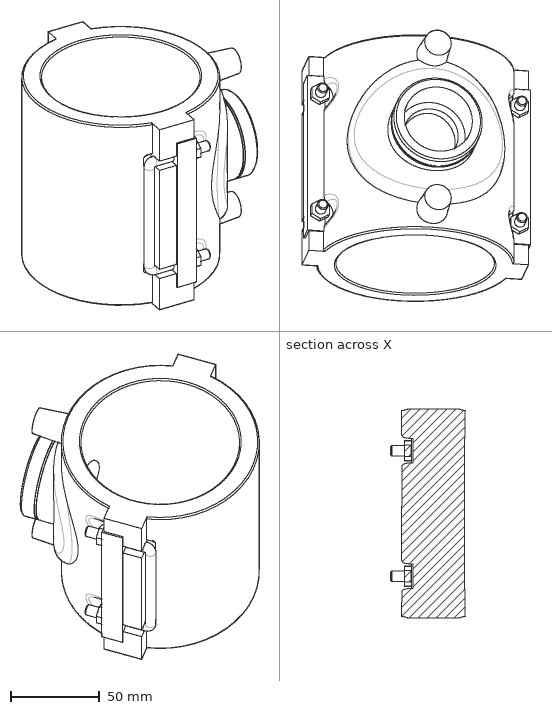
import cadquery as cq
import math

sleeve_length = 118.0
sleeve_radius = 55.9
bore_radius = 44.8
sleeve_chamfer = 0.9

flange_half_width = 63.0
upper_flange_height = 11.5
lower_flange_height = 11.0
flange_inner_x = 48.5

strip_thickness = 0.98
strip_length = 94.1
strip_inner_x = 53.8

bolt_diameter = 6.0
bolt_radius = bolt_diameter / 2
bolt_x = 57.1
bolt_z = 35.5
bolt_tip_y = 24.2
bolt_tip_chamfer = 0.7
bolt_bend_radius = 3.3
nut_across_flats = 10.0
nut_height = 4.0

relief_radius = 7.1
relief_floor_x = 53.5

nut_pocket_radius = 7.9
nut_pocket_fillet = 4.0

pad_radius = 44.9
pad_outer_radius = 60.2
pad_fillet = 8.1

outlet_diameter = 50.7
outlet_bore_diameter = 31.1
socket_diameter = 39.0
socket_floor_y = 51.6
outlet_end_y = 75.3
outlet_chamfer = 1.2
groove_diameter = 49.6
groove_width = 1.2
groove_y = 65.5

post_z = 47.0
post_tip_y = 74.2
post_tip_radius = 7.6
post_base_radius = 8.8

wall_overlap = 1.3

branch_root_radius = sleeve_radius - wall_overlap
strip_top_y = upper_flange_height + strip_thickness
bend_y = -lower_flange_height
bend_z = bolt_z - bolt_bend_radius
bar_y = bend_y - bolt_bend_radius


def cylinder_along_y(radius, start_y, end_y, x=0, z=0):
    height = end_y - start_y
    start = cq.Vector(x, start_y, z)
    return cq.Workplane(cq.Solid.makeCylinder(radius, height, start, cq.Vector(0, 1, 0)))


def block(x_range, y_range, z_range):
    sizes = [high - low for low, high in (x_range, y_range, z_range)]
    corner = (x_range[0], y_range[0], z_range[0])
    return cq.Workplane("XY").box(*sizes, centered=False).translate(corner)


def make_sleeve():
    sleeve = cq.Workplane("XY").circle(sleeve_radius).circle(bore_radius).extrude(sleeve_length / 2, both=True)
    return sleeve.faces("|Z").edges().chamfer(sleeve_chamfer)


def cut_nut_pockets(sleeve):
    for side in (-1, 1):
        for end in (-1, 1):
            sleeve = sleeve.cut(
                cylinder_along_y(nut_pocket_radius, upper_flange_height, sleeve_radius, side * bolt_x, end * bolt_z)
            )
    return sleeve.edges("%BSPLINE").fillet(nut_pocket_fillet)


def make_saddle_pad():
    pad = cylinder_along_y(pad_radius, 0, pad_outer_radius + pad_fillet).intersect(
        cq.Workplane("XY").circle(pad_outer_radius).extrude(sleeve_length, both=True)
    )
    return pad.edges(">Y").fillet(pad_fillet)


def make_outlet():
    outlet = cylinder_along_y(outlet_diameter / 2, 0, outlet_end_y)
    outlet = outlet.faces(">Y").chamfer(outlet_chamfer)
    groove = cylinder_along_y(outlet_diameter, groove_y, groove_y + groove_width).cut(
        cylinder_along_y(groove_diameter / 2, groove_y, groove_y + groove_width)
    )
    return outlet.cut(groove)


def make_post(end):
    """Tapered post standing on the sleeve; its cone is continued down into the sleeve wall."""
    root_y = bore_radius
    slope = (post_base_radius - post_tip_radius) / (post_tip_y - sleeve_radius)
    root_radius = post_tip_radius + slope * (post_tip_y - root_y)
    cone = cq.Solid.makeCone(
        root_radius, post_tip_radius, post_tip_y - root_y, cq.Vector(0, root_y, end * post_z), cq.Vector(0, 1, 0)
    )
    return cq.Workplane(cone)


def make_flange():
    """Both clamp flanges on the +X side, with the strip on the upper one and bolt slots in the lower one."""
    half_length = sleeve_length / 2
    flange = block(
        (flange_inner_x, flange_half_width), (-lower_flange_height, upper_flange_height), (-half_length, half_length)
    )
    strip = block(
        (strip_inner_x, flange_half_width + strip_thickness), (0, strip_top_y), (-strip_length / 2, strip_length / 2)
    )
    flange = flange.union(strip)
    for end in (-1, 1):
        slot_z = end * bolt_z
        slot = block(
            (bolt_x, flange_half_width), (-lower_flange_height, 0), (slot_z - bolt_radius, slot_z + bolt_radius)
        )
        flange = flange.cut(slot)
    return flange


def make_bend_relief():
    """Part-disc around the upper bend of the +X bolt, reaching into the sleeve wall."""
    disc = cq.Workplane("YZ", origin=(relief_floor_x, bend_y, bend_z)).circle(relief_radius).extrude(relief_radius)
    corner = block(
        (relief_floor_x, relief_floor_x + relief_radius),
        (bend_y - relief_radius, bend_y),
        (bend_z, bend_z + relief_radius),
    )
    return disc.intersect(corner)


def make_half_bolt():
    """Upper half of the +X U-bolt: half of the bar, the bend, the threaded leg and its nut."""
    bar = cq.Workplane("XY", origin=(bolt_x, bar_y, 0)).circle(bolt_radius).extrude(bend_z)
    bend = (
        cq.Workplane("XY", origin=(bolt_x, bar_y, bend_z))
        .circle(bolt_radius)
        .revolve(90, (bolt_radius, bolt_bend_radius, 0), (-bolt_radius, bolt_bend_radius, 0))
    )
    leg = cylinder_along_y(bolt_radius, bend_y, bolt_tip_y, bolt_x, bolt_z).faces(">Y").chamfer(bolt_tip_chamfer)
    nut = (
        cq.Workplane("XZ", origin=(bolt_x, strip_top_y, bolt_z))
        .transformed(rotate=(0, 0, 90))
        .polygon(6, nut_across_flats / math.cos(math.pi / 6))
        .extrude(-nut_height)
    )
    return bar.union(bend).union(leg).union(nut)


def four_corners(body):
    """Repeat a body made in the +X +Z corner in all four corners."""
    pair = body.union(body.mirror("XY"))
    return pair.union(pair.mirror("YZ"))


flange = make_flange()
clamp = cut_nut_pockets(make_sleeve()).union(flange).union(flange.mirror("YZ"))
clamp = clamp.cut(four_corners(make_bend_relief())).union(four_corners(make_half_bolt()))

branch = make_saddle_pad().union(make_outlet())
for end in (-1, 1):
    branch = branch.union(make_post(end))
branch = branch.cut(cq.Workplane("XY").circle(branch_root_radius).extrude(sleeve_length, both=True))

outlet_bore = cylinder_along_y(outlet_bore_diameter / 2, 0, outlet_end_y)
socket = cylinder_along_y(socket_diameter / 2, socket_floor_y, outlet_end_y)
result = clamp.union(branch).cut(outlet_bore).cut(socket)